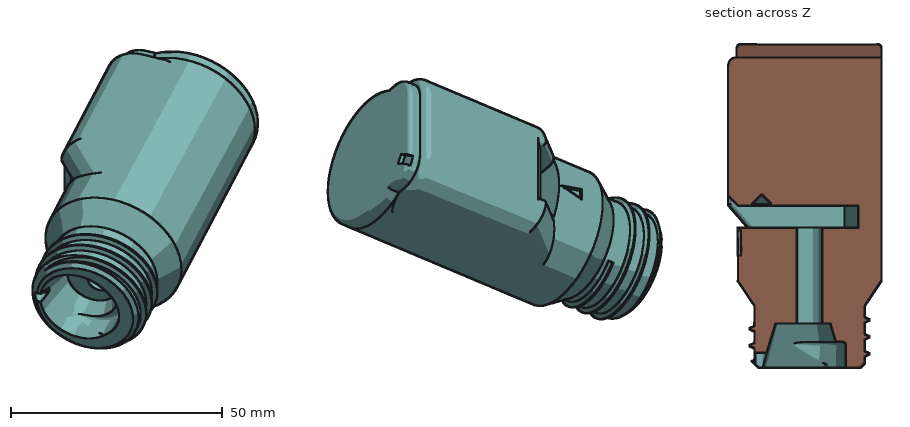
import cadquery as cq
import math

BODY_R = 17.0
LENGTH = 76.4
NECK_R = 13.05
NECK_LENGTH = 14.6
NECK_CHAMFER = 1.0
SHOULDER_END = 20.5

CAP_THICKNESS = 3.1
CAP_START = LENGTH - CAP_THICKNESS
CAP_EDGE_R = 1.0
PRY_SLOT_WIDTH = 2.4
PRY_SLOT_DEPTH = 1.15
PRY_SLOT_INNER_R = 16.0
PRY_SLOT_ANGLE = 213.5

SADDLE_X = -19.25
SADDLE_HALF_HEIGHT = 16.65
SADDLE_CORNER_R = 8.0
SADDLE_INNER_X = -2.0
SADDLE_BACK_R = 2.0
SADDLE_BEND_Y = 38.4
SADDLE_BEND_ANGLE = 40.7
SADDLE_RUNOUT = 18.0

WINDOW_FRONT_Y = 33.05
WINDOW_BACK_Y = 38.2
WINDOW_HALF_HEIGHT = 8.0
WINDOW_EDGE_R = 1.2
WINDOW_BEVEL = 2.45
WINDOW_END_R = 11.5
PIT_X = -11.3
PIT_R = 2.2
PIT_LIP = 0.5
PIT_CONE_DEPTH = 2.2

MOUTH_OFFSET_X = -1.55
MOUTH_R = 9.6
MOUTH_FLOOR_R = 6.45
MOUTH_DEPTH = 10.4
COUNTERBORE_R = 8.55
COUNTERBORE_DEPTH = 6.1
COUNTERBORE_FILLET = 0.85
PASSAGE_R = 3.0
KEY_NOTCH_R = 1.3
KEY_NOTCH_X = -11.4
KEY_NOTCH_DEPTH = 3.5

THREAD_PITCH = 4.0
THREAD_START_Y = 12.75
THREAD_START_ANGLE = 225.0
THREAD_TURNS = 3.125
THREAD_CREST_R = 14.2
THREAD_ROOT_WIDTH = 1.6
THREAD_CREST_WIDTH = 0.3
THREAD_EMBED = 0.3

ARROW_TIP_Y = 32.4
ARROW_BASE_Y = 26.5
ARROW_HALF_WIDTH = 1.5
ARROW_DEPTH = 0.8

CUT_MARGIN = 5.0


def section_at(y):
    """A sketch plane across the part at height y, with local axes X and Z."""
    return cq.Workplane("XZ", origin=(0, y, 0))


def disc(x, z, radius, y_start, y_end):
    """A round bar along Y."""
    return section_at(y_start).center(x, z).circle(radius).extrude(y_start - y_end)


def saddle_outline(y, inset):
    """Cross-section of the saddle: a bar with two rounded corners on its -X side."""
    left = SADDLE_X + inset
    half = SADDLE_HALF_HEIGHT - inset
    corner = SADDLE_CORNER_R - inset
    diagonal = corner * (1 - math.sqrt(0.5))
    return (
        section_at(y)
        .moveTo(SADDLE_INNER_X, -half)
        .lineTo(left + corner, -half)
        .threePointArc((left + diagonal, -half + diagonal), (left, -half + corner))
        .lineTo(left, half - corner)
        .threePointArc((left + diagonal, half - diagonal), (left + corner, half))
        .lineTo(SADDLE_INNER_X, half)
        .close()
    )


def saddle_path(y_start):
    """Runs along the saddle's outer face toward -Y, then bends inward into the cylinder."""
    bend = math.radians(SADDLE_BEND_ANGLE)
    end_x = SADDLE_X + SADDLE_RUNOUT * math.sin(bend)
    end_y = SADDLE_BEND_Y - SADDLE_RUNOUT * math.cos(bend)
    return (
        cq.Workplane("XY")
        .moveTo(SADDLE_X, y_start)
        .lineTo(SADDLE_X, SADDLE_BEND_Y)
        .lineTo(end_x, end_y)
    )


def make_saddle():
    saddle = saddle_outline(CAP_START, 0).sweep(saddle_path(CAP_START), transition="right")
    buried_side = (
        cq.Workplane("YZ", origin=(SADDLE_INNER_X, 0, 0))
        .rect(2 * LENGTH, 4 * SADDLE_HALF_HEIGHT)
        .extrude(SADDLE_RUNOUT)
    )
    saddle = saddle.cut(buried_side)
    back_edges = saddle.faces(">Y").edges("not(>X)")
    return back_edges.fillet(SADDLE_BACK_R)


def make_shell():
    """Cylinder, conical shoulder and neck, turned about Y."""
    return (
        cq.Workplane("XY")
        .polyline([
            (0, 0),
            (NECK_R, 0),
            (NECK_R, NECK_LENGTH),
            (BODY_R, SHOULDER_END),
            (BODY_R, CAP_START),
            (0, CAP_START),
        ])
        .close()
        .revolve(360, (0, 0, 0), (0, 1, 0))
    )


def make_thread():
    """Thread ridge, built about Z and then laid along -Y."""
    inner_r = NECK_R - THREAD_EMBED
    helix = cq.Wire.makeHelix(THREAD_PITCH, THREAD_PITCH * THREAD_TURNS, inner_r)
    ridge = (
        cq.Workplane("XZ")
        .polyline([
            (inner_r, -THREAD_ROOT_WIDTH / 2),
            (THREAD_CREST_R, -THREAD_CREST_WIDTH / 2),
            (THREAD_CREST_R, THREAD_CREST_WIDTH / 2),
            (inner_r, THREAD_ROOT_WIDTH / 2),
        ])
        .close()
        .sweep(cq.Workplane(helix), isFrenet=True)
    )
    return (
        ridge.rotate((0, 0, 0), (0, 0, 1), THREAD_START_ANGLE)
        .rotate((0, 0, 0), (1, 0, 0), 90)
        .translate((0, THREAD_START_Y, 0))
    )


def make_lead_in():
    """Ring outside a 45 degree cone, which chamfers the neck and runs the thread out."""
    face_r = NECK_R - NECK_CHAMFER
    return (
        cq.Workplane("XY")
        .polyline([
            (face_r, 0),
            (face_r + CUT_MARGIN, CUT_MARGIN),
            (face_r + CUT_MARGIN, -CUT_MARGIN),
            (face_r, -CUT_MARGIN),
        ])
        .close()
        .revolve(360, (0, 0, 0), (0, 1, 0))
    )


def make_mouth():
    """Everything hollowed out from the neck face."""
    taper = (
        cq.Workplane("XY")
        .polyline([
            (0, 0),
            (MOUTH_R, 0),
            (MOUTH_FLOOR_R, MOUTH_DEPTH),
            (0, MOUTH_DEPTH),
        ])
        .close()
        .revolve(360, (0, 0, 0), (0, 1, 0))
        .translate((MOUTH_OFFSET_X, 0, 0))
    )
    counterbore = disc(0, 0, COUNTERBORE_R, 0, COUNTERBORE_DEPTH)
    counterbore = counterbore.faces(">Y").edges().fillet(COUNTERBORE_FILLET)
    key_notch = disc(KEY_NOTCH_X, 0, KEY_NOTCH_R, 0, KEY_NOTCH_DEPTH)
    passage = disc(0, 0, PASSAGE_R, 0, WINDOW_FRONT_Y)
    return taper.union(counterbore).union(key_notch).union(passage)


def make_window():
    """Slot with a concave end, open to -X, bevelled at its back and eased where it leaves the saddle."""
    half = WINDOW_HALF_HEIGHT
    arc_x = math.sqrt(WINDOW_END_R**2 - half**2)
    outside = SADDLE_X - CUT_MARGIN
    slot = (
        section_at(WINDOW_FRONT_Y)
        .moveTo(outside, -half)
        .lineTo(arc_x, -half)
        .threePointArc((WINDOW_END_R, 0), (arc_x, half))
        .lineTo(outside, half)
        .close()
        .extrude(-(SADDLE_BEND_Y + CUT_MARGIN - WINDOW_FRONT_Y))
    )
    wide = half + WINDOW_EDGE_R
    eased_x = SADDLE_X + WINDOW_EDGE_R
    bulge = WINDOW_EDGE_R * math.sqrt(0.5)
    flare = (
        section_at(SADDLE_BEND_Y + CUT_MARGIN)
        .moveTo(SADDLE_X, -wide)
        .threePointArc((eased_x - bulge, -wide + bulge), (eased_x, -half))
        .lineTo(eased_x, half)
        .threePointArc((eased_x - bulge, wide - bulge), (SADDLE_X, wide))
        .close()
        .sweep(saddle_path(SADDLE_BEND_Y + CUT_MARGIN), transition="right")
    )
    bevel_reach = WINDOW_BEVEL + CUT_MARGIN
    extent = (
        cq.Workplane("XY", origin=(0, 0, -wide))
        .polyline([
            (outside, WINDOW_FRONT_Y),
            (BODY_R, WINDOW_FRONT_Y),
            (BODY_R, WINDOW_BACK_Y),
            (SADDLE_X + WINDOW_BEVEL, WINDOW_BACK_Y),
            (outside, WINDOW_BACK_Y + bevel_reach),
        ])
        .close()
        .extrude(2 * wide)
    )
    return slot.union(flare).intersect(extent)


def make_pit():
    """Blind hole with a conical bottom in the back wall of the window."""
    lip_end = WINDOW_BACK_Y + PIT_LIP
    return (
        cq.Workplane("XY", origin=(PIT_X, 0, 0))
        .polyline([
            (0, WINDOW_BACK_Y),
            (PIT_R, WINDOW_BACK_Y),
            (PIT_R, lip_end),
            (0, lip_end + PIT_CONE_DEPTH),
        ])
        .close()
        .revolve(360, (0, 0, 0), (0, 1, 0))
    )


def make_arrow():
    """Triangle pressed into the cylinder, its floor parallel to the cylinder's surface."""
    triangle = (
        cq.Workplane("YZ", origin=(-BODY_R - CUT_MARGIN, 0, 0))
        .polyline([
            (ARROW_TIP_Y, 0),
            (ARROW_BASE_Y, ARROW_HALF_WIDTH),
            (ARROW_BASE_Y, -ARROW_HALF_WIDTH),
        ])
        .close()
        .extrude(2 * CUT_MARGIN)
    )
    return triangle.cut(disc(0, 0, BODY_R - ARROW_DEPTH, ARROW_BASE_Y, ARROW_TIP_Y))


def make_housing():
    housing = make_shell().union(make_saddle()).union(make_thread())
    for hollow in (make_lead_in(), make_mouth(), make_window(), make_pit(), make_arrow()):
        housing = housing.cut(hollow)
    return housing


def make_cap():
    """Lid with the saddle's outline set in by the radius of the saddle's rounded back edge."""
    cap = disc(0, 0, BODY_R, CAP_START, LENGTH)
    cap = cap.union(saddle_outline(CAP_START, SADDLE_BACK_R).extrude(-CAP_THICKNESS))
    cap = cap.faces(">Y").edges().fillet(CAP_EDGE_R)
    return cap.cut(make_pry_slot())


def make_pry_slot():
    """Radial slot in the end face, open through the rounded lower corner of the lid."""
    outer_r = PRY_SLOT_INNER_R + 2 * CUT_MARGIN
    return (
        section_at(LENGTH - PRY_SLOT_DEPTH)
        .center((PRY_SLOT_INNER_R + outer_r) / 2, 0)
        .rect(outer_r - PRY_SLOT_INNER_R, PRY_SLOT_WIDTH)
        .extrude(-PRY_SLOT_DEPTH)
        .rotate((0, 0, 0), (0, -1, 0), PRY_SLOT_ANGLE)
    )


housing = make_housing()
cap = make_cap()
result = cq.Compound.makeCompound([housing.val(), cap.val()])